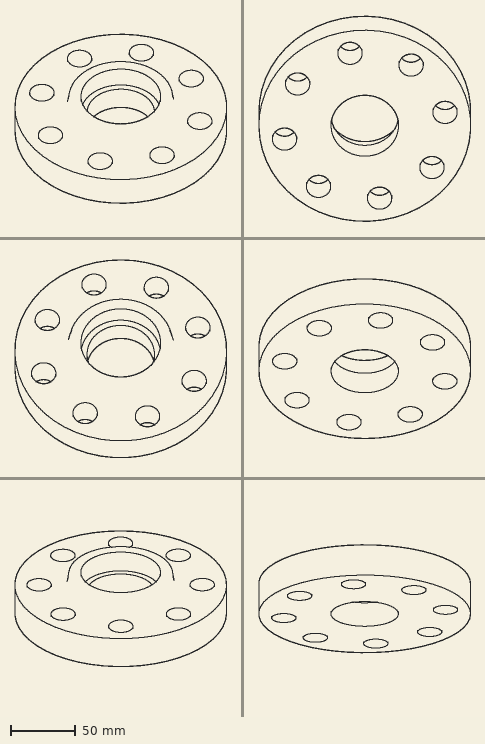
import cadquery as cq

flange_diameter = 165.0
flange_thickness = 25.5
total_height = 36.6

hub_base_diameter = 84.0
hub_top_diameter = 80.5
hub_fillet = 1.5

bore_diameter = 52.5
socket_diameter = 62.0
socket_depth = 17.0

bolt_count = 8
bolt_circle_diameter = 127.1
bolt_hole_diameter = 19.0


def flange_with_hub():
    """Solid of revolution: flat disc carrying a tapered hub, underside at Z = 0."""
    blank = (
        cq.Workplane("XZ")
        .lineTo(flange_diameter / 2, 0)
        .lineTo(flange_diameter / 2, flange_thickness)
        .lineTo(hub_base_diameter / 2, flange_thickness)
        .lineTo(hub_top_diameter / 2, total_height)
        .lineTo(0, total_height)
        .close()
        .revolve(360, (0, 0, 0), (0, 1, 0))
    )
    return blank.faces("%CONE").edges("%CIRCLE").fillet(hub_fillet)


def cut_bore_and_socket(body):
    """Through bore, widened to the socket diameter from the hub face."""
    hub_face = body.faces(">Z").workplane(origin=(0, 0, 0))
    return hub_face.cboreHole(bore_diameter, socket_diameter, socket_depth)


def cut_bolt_holes(body):
    """Equally spaced through holes, the first on the +X axis."""
    drills = (
        cq.Workplane("XY")
        .polarArray(bolt_circle_diameter / 2, 0, 360, bolt_count)
        .circle(bolt_hole_diameter / 2)
        .extrude(flange_thickness)
    )
    return body.cut(drills)


result = cut_bolt_holes(cut_bore_and_socket(flange_with_hub()))